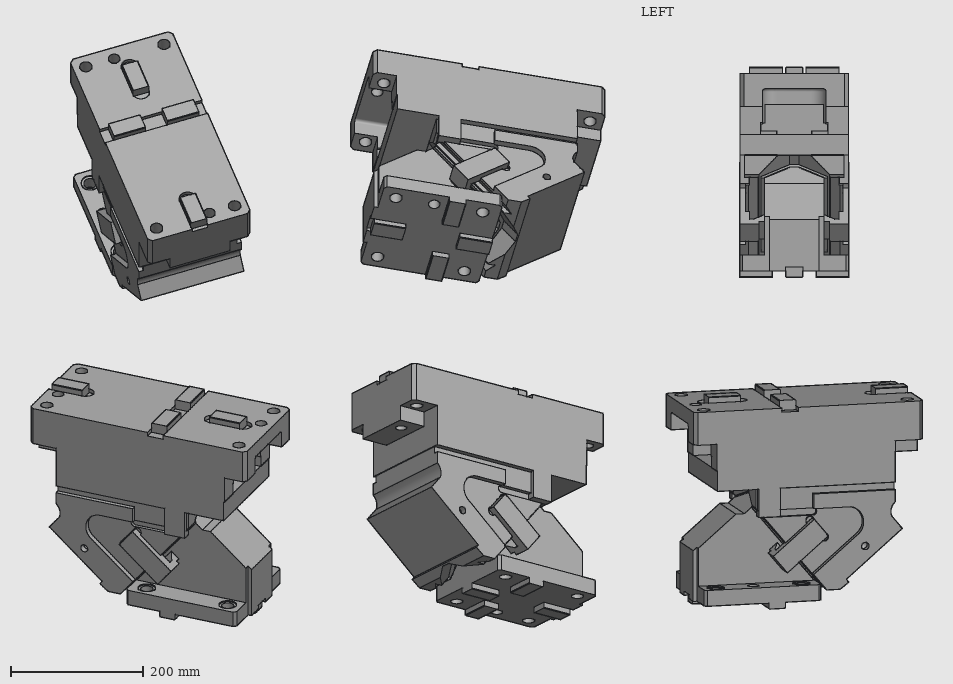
import cadquery as cq
import math


SIDES = (-1, 1)

SLOPE = math.radians(40)
GUIDE_X, GUIDE_Z = 98.5, 155.5
GUIDE_LENGTH = 252.0
ALONG = cq.Vector(math.sin(SLOPE), 0, -math.cos(SLOPE))
ABOVE = cq.Vector(math.cos(SLOPE), 0, math.sin(SLOPE))


def guide_point(along, above):
    """X and Z of a point given by its distances along and above the guide plane."""
    x = GUIDE_X + along * ALONG.x + above * ABOVE.x
    z = GUIDE_Z + along * ALONG.z + above * ABOVE.z
    return x, z


def guide_prism(points, start, length):
    """Prism running down the guide; each point is (y, distance above the guide plane)."""
    x, z = guide_point(start, 0)
    plane = cq.Plane(origin=(x, 0, z), xDir=(0, 1, 0), normal=ALONG.toTuple())
    return cq.Workplane(plane).polyline(points).close().extrude(length)


def mirrored(points):
    """Complete an outline given for y > 0, from its top to its bottom, with its mirror image."""
    return points + [(-y, other) for y, other in reversed(points)]


def box(x_range, y_range, z_range):
    """Box between the given limits."""
    (x0, x1), (y0, y1), (z0, z1) = x_range, y_range, z_range
    return cq.Workplane("XY").box(x1 - x0, y1 - y0, z1 - z0, centered=False).translate((x0, y0, z0))


def side_range(side, inner, outer):
    """Limits in y of a feature between two distances from the plane of symmetry."""
    return tuple(sorted((side * inner, side * outer)))


def side_sketch(depth, side):
    """XZ sketch plane at a distance from the plane of symmetry, on the given side."""
    return cq.Workplane("XZ", origin=(0, side * depth, 0))


def side_disc(center, radius, side, inner, outer):
    """Cylinder along Y between two distances from the plane of symmetry."""
    return side_sketch(outer, side).center(*center).circle(radius).extrude(side * (outer - inner))


def rod(x, y, radius, z_range):
    """Vertical cylinder."""
    z0, z1 = z_range
    return cq.Workplane("XY", origin=(x, y, z0)).circle(radius).extrude(z1 - z0)


HEIGHT = 318.0
HALF_WIDTH = 82.5
KEY_HEIGHT = 9.5
KEY_HALF = 13.0
KEY_CHAMFER = 1.0
KEY_SLOT_DEPTH = 6.0
BOLT_RADIUS = 9.5
BOLT_Y = 62.5
PIN_RADIUS = 8.5

BASE_X = (16.5, 199.8)
BASE_BOTTOM = KEY_HEIGHT
BASE_TOP = 34.0
BASE_CHAMFER = 4.5
DRIVER_HALF = 45.5
DRIVER_FRONT = 10.8
NOSE_HALF = 37.5
SHOULDER_Z = 142.0
SHOULDER_X = (75.5, 89.0)
ROOF_HALF_FLAT = 7.0
ROOF_TOP = 22.5
EAVE = -1.8
LOWER_BOLTS_X = (39.0, 173.5)
LOWER_PIN_X = 98.3
LOWER_CBORE_RADIUS = 13.5
LOWER_CBORE_DEPTH = 1.8
LOWER_LONG_KEYS_X = ((16.5, 65.5), (149.5, 199.8))
LOWER_CROSS_KEY_X = (117.5, 143.3)
LOWER_CROSS_KEY_INNER = 33.0

SLIDER_BACK = 315.7
SLIDER_TOP = 184.5
UPPER_HALF = 75.2
PLATE_FRONT = 188.0
PLATE_TOP = 174.0
POCKET_TOP = 151.2
POCKET_FLOOR = 73.5
POCKET_RADIUS = 24.0
POCKET_ARC_X = 242.0
SCALLOP_TOP_Z, SCALLOP_MID, SCALLOP_END = 155.5, (309.2, 144.0), (310.5, 133.5)
BACK_CORNER = (327.0, 113.8)
LIP_ROOT, LIP_TIP = (239.0, 40.0), (242.5, 35.3)
SLIDER_BOTTOM, BOTTOM_X = 25.0, (208.5, 229.0)
LEG_GROOVE_FLOOR = 68.0
LEG_GROOVE_BOTTOM = 139.5
LEG_GROOVE_END = 194.8
VEE_HALF_FLAT, VEE_TOP = 7.5, 30.0
VEE_HALF = 53.3
WING_INNER, WING_OUTER, WING_RISE = 54.7, 69.0, 8.5
PAD_HALF = 50.0
PAD_START, PAD_END = 5.8, 151.5
CLAMP_ALONG = (73.5, 108.0)
CLAMP_TOP, CLAMP_END = 55.5, -28.5
CLAMP_INNER = 68.0
CLAMP_END_GAP = 1.0
CLAW_ROOT_HALF, CLAW_END = 53.3, -23.0
CLAW_TIP_TOP = -7.0
CLAW_HEEL_HALF, CLAW_HEEL_TOP = 61.2, -17.3
RELIEF_RADIUS, RELIEF_INSET = 6.5, 5.0
RELIEF_FLOOR = 70.2
SIDE_HOLE = (268.5, 89.5)
SIDE_HOLE_RADIUS, SIDE_HOLE_DEPTH = 5.8, 10.8
DRILL_HALF_ANGLE = math.radians(59)
TONGUE_X = (98.5, 252.0)
NECK_HALF = 26.3
RAIL_TOP = 221.0
FLANGE_HALF, FLANGE_TOP = 50.0, 232.0
TONGUE_HALF, TONGUE_TOP = 44.0, 261.5
TONGUE_STEP = 2.0

LENGTH = 360.0
HOLDER_HALF = 82.0
HOLDER_TOP = HEIGHT - KEY_HEIGHT
HOLDER_BOTTOM = 185.5
HOLDER_CHAMFER = 5.8
FRONT_FLANGE_BOTTOM = 258.0
BACK_FLANGE_BOTTOM = 249.0
BODY_X = (35.5, 315.7)
BAR_FRONT, BAR_TOP = 36.7, 216.5
BACK_BOSS_HALF, BACK_BOSS_BOTTOM = 48.2, 225.7
CAVITY_HALF, CAVITY_TOP, CAVITY_BACK = 48.2, 285.5, 288.0
CAVITY_TOP_RADIUS = 5.0
CAVITY_CORNER_RADIUS = 21.5
CAVITY_FOOT_HALF, CAVITY_FOOT_TOP = 51.0, 234.0
FLOOR_SLOT_HALF = 27.0
LEG_X = (101.5, 135.5)
LEG_BOTTOM = 142.0
TOE_INNER = 68.8
UPPER_HOLES_X = (20.0, 340.0)
UPPER_PINS = ((20.0, -17.3), (340.0, 22.5))
CROSS_SLOT_X = (137.5, 163.5)
CROSS_KEY_Y = (17.5, 68.0)
UPPER_LONG_KEYS_X = ((41.8, 92.0), (304.2, 354.5))


def driver_body():
    """Tower with a gabled, inclined roof."""
    nose_z = SHOULDER_Z - (SHOULDER_X[0] - DRIVER_FRONT) * math.tan(SLOPE)
    back = BASE_X[1]
    ridge_start_x = SHOULDER_X[1]
    dx, dz = ridge_start_x - GUIDE_X, SHOULDER_Z - GUIDE_Z
    roof_start = dx * ALONG.x + dz * ALONG.z
    ridge_start = guide_point(roof_start, ROOF_TOP)
    ridge_end_z = ridge_start[1] - (back - ridge_start[0]) / math.tan(SLOPE)
    outline = [
        (DRIVER_FRONT, BASE_BOTTOM), (DRIVER_FRONT, nose_z), (SHOULDER_X[0], SHOULDER_Z),
        (SHOULDER_X[1], SHOULDER_Z), ridge_start, (back, ridge_end_z), (back, BASE_BOTTOM),
    ]
    tower = cq.Workplane("XZ").polyline(outline).close().extrude(DRIVER_HALF, both=True)
    for side in SIDES:
        over_roof = [
            (side * ROOF_HALF_FLAT, ROOF_TOP), (side * DRIVER_HALF, EAVE),
            (side * HALF_WIDTH, EAVE), (side * HALF_WIDTH, 2 * ROOF_TOP),
            (side * ROOF_HALF_FLAT, 2 * ROOF_TOP),
        ]
        tower = tower.cut(guide_prism(over_roof, roof_start - 3.5, GUIDE_LENGTH))
        corner_y = side_range(side, NOSE_HALF, DRIVER_HALF)
        tower = tower.cut(box((DRIVER_FRONT, BASE_X[0]), corner_y, (0, SHOULDER_Z)))
    return tower


def lower_keys():
    """Two keys along X on the centre line and two along Y at the sides."""
    z_range = (0, BASE_BOTTOM)
    keys = []
    for x_range in LOWER_LONG_KEYS_X:
        key = box(x_range, (-KEY_HALF, KEY_HALF), z_range)
        keys.append(key.faces("<Z").edges("|X").chamfer(KEY_CHAMFER))
    for side in SIDES:
        key = box(LOWER_CROSS_KEY_X, side_range(side, LOWER_CROSS_KEY_INNER, HALF_WIDTH), z_range)
        keys.append(key.faces("<Z").edges("|Y").chamfer(KEY_CHAMFER))
    return keys


def build_driver():
    base = box(BASE_X, (-HALF_WIDTH, HALF_WIDTH), (BASE_BOTTOM, BASE_TOP))
    base = base.edges("|Z").chamfer(BASE_CHAMFER)
    driver = base.union(driver_body())
    nose_slot = box(
        (DRIVER_FRONT, BASE_X[0]), (-KEY_HALF, KEY_HALF), (BASE_BOTTOM, BASE_BOTTOM + KEY_SLOT_DEPTH)
    )
    driver = driver.cut(nose_slot)
    for key in lower_keys():
        driver = driver.union(key)
    for y in (-BOLT_Y, BOLT_Y):
        for x in LOWER_BOLTS_X:
            driver = driver.cut(rod(x, y, BOLT_RADIUS, (0, BASE_TOP)))
            driver = driver.cut(rod(x, y, LOWER_CBORE_RADIUS, (BASE_TOP - LOWER_CBORE_DEPTH, BASE_TOP)))
    return driver.cut(rod(LOWER_PIN_X, -BOLT_Y, PIN_RADIUS, (0, BASE_TOP)))


def slider_blank():
    """Full-width slider outline with a scalloped back."""
    outline = (
        cq.Workplane("XZ")
        .moveTo(GUIDE_X, SLIDER_TOP)
        .lineTo(SLIDER_BACK, SLIDER_TOP)
        .lineTo(SLIDER_BACK, SCALLOP_TOP_Z)
        .threePointArc(SCALLOP_MID, SCALLOP_END)
        .lineTo(*BACK_CORNER)
        .lineTo(*LIP_ROOT)
        .lineTo(*LIP_TIP)
        .lineTo(BOTTOM_X[1], SLIDER_BOTTOM)
        .lineTo(BOTTOM_X[0], SLIDER_BOTTOM)
        .lineTo(GUIDE_X, GUIDE_Z)
        .close()
    )
    return outline.extrude(HALF_WIDTH, both=True)


def pocket_cut(side):
    """Side pocket: flat top, round end, lower edge square to the guide, open at the guide."""
    arc_z = POCKET_TOP - POCKET_RADIUS
    end_x = POCKET_ARC_X + POCKET_RADIUS * math.sin(SLOPE)
    end_z = arc_z - POCKET_RADIUS * math.cos(SLOPE)
    run = end_x - GUIDE_X
    return (
        side_sketch(HALF_WIDTH, side)
        .moveTo(GUIDE_X, POCKET_TOP)
        .lineTo(POCKET_ARC_X, POCKET_TOP)
        .threePointArc((POCKET_ARC_X + POCKET_RADIUS, arc_z), (end_x, end_z))
        .lineTo(GUIDE_X, end_z - run * math.tan(SLOPE))
        .close()
        .extrude(side * (HALF_WIDTH - POCKET_FLOOR))
    )


def leg_groove(side):
    """Groove with a round end, which the toe of the holder's leg runs in."""
    radius = (POCKET_TOP - LEG_GROOVE_BOTTOM) / 2
    y_range = side_range(side, LEG_GROOVE_FLOOR, HALF_WIDTH)
    straight = box((GUIDE_X, LEG_GROOVE_END - radius), y_range, (LEG_GROOVE_BOTTOM, POCKET_TOP))
    center = (LEG_GROOVE_END - radius, LEG_GROOVE_BOTTOM + radius)
    return straight.union(side_disc(center, radius, side, LEG_GROOVE_FLOOR, HALF_WIDTH))


def clamp(side):
    """Plate square to the guide, set into the slider, with a claw reaching in to the driver."""
    start, end = CLAMP_ALONG
    outline = [
        (HALF_WIDTH, CLAMP_TOP), (HALF_WIDTH, CLAMP_END), (CLAW_ROOT_HALF, CLAMP_END),
        (CLAW_ROOT_HALF, CLAW_END), (DRIVER_HALF, CLAW_END), (DRIVER_HALF, CLAW_TIP_TOP),
        (CLAW_HEEL_HALF, CLAW_HEEL_TOP), (CLAMP_INNER, CLAW_HEEL_TOP),
        (CLAMP_INNER, CLAMP_TOP),
    ]
    return guide_prism([(side * y, above) for y, above in outline], start, end - start)


def clamp_slot(side):
    """Seat of the clamp in the slider, a little longer than the clamp, with corner reliefs."""
    start, end = CLAMP_ALONG
    seat_top = CLAMP_TOP + CLAMP_END_GAP
    outline = [(CLAMP_INNER, 0), (HALF_WIDTH, 0), (HALF_WIDTH, seat_top), (CLAMP_INNER, seat_top)]
    slot = guide_prism([(side * y, above) for y, above in outline], start, end - start)
    for along in CLAMP_ALONG:
        corner = guide_point(along, CLAMP_TOP - RELIEF_INSET)
        slot = slot.union(side_disc(corner, RELIEF_RADIUS, side, RELIEF_FLOOR, HALF_WIDTH))
    return slot


def side_hole(side):
    """Blind hole with a conical drill bottom."""
    x, z = SIDE_HOLE
    floor = HALF_WIDTH - SIDE_HOLE_DEPTH
    tip = SIDE_HOLE_RADIUS / math.tan(DRILL_HALF_ANGLE)
    inward = cq.Vector(0, -side, 0)
    cone = cq.Solid.makeCone(SIDE_HOLE_RADIUS, 0, tip, cq.Vector(x, side * floor, z), inward)
    return side_disc(SIDE_HOLE, SIDE_HOLE_RADIUS, side, floor, HALF_WIDTH).union(cq.Workplane(cone))


def guide_relief():
    """Vee and wing clearances in the slider's underside, as cutting bodies."""
    vee = mirrored([(VEE_HALF_FLAT, VEE_TOP), (VEE_HALF, 0)])
    cuts = [guide_prism(vee, -GUIDE_LENGTH / 2, 2 * GUIDE_LENGTH)]
    for side in SIDES:
        wing = [(side * WING_INNER, 0), (side * WING_INNER, WING_RISE), (side * WING_OUTER, 0)]
        cuts.append(guide_prism(wing, PAD_START, GUIDE_LENGTH))
    return cuts


def wear_pad():
    """Gabled pad that fills the vee down to the driver's roof."""
    edge_top = VEE_TOP * (VEE_HALF - PAD_HALF) / (VEE_HALF - VEE_HALF_FLAT)
    half = [
        (VEE_HALF_FLAT, VEE_TOP), (PAD_HALF, edge_top), (PAD_HALF, EAVE),
        (DRIVER_HALF, EAVE), (ROOF_HALF_FLAT, ROOF_TOP),
    ]
    return guide_prism(mirrored(half), PAD_START, PAD_END - PAD_START)


def tongue():
    """T-shaped tongue that runs in the holder's cavity."""
    bevel_top = FLANGE_TOP + TONGUE_STEP
    outline = mirrored([
        (TONGUE_HALF, TONGUE_TOP), (TONGUE_HALF, bevel_top), (FLANGE_HALF, FLANGE_TOP),
        (FLANGE_HALF, RAIL_TOP), (NECK_HALF, RAIL_TOP), (NECK_HALF, SLIDER_TOP),
    ])
    start, end = TONGUE_X
    return cq.Workplane("YZ", origin=(start, 0, 0)).polyline(outline).close().extrude(end - start)


def build_slider():
    slider = slider_blank()
    for cut in guide_relief():
        slider = slider.cut(cut)
    for side in SIDES:
        upper_y = side_range(side, UPPER_HALF, HALF_WIDTH)
        slider = slider.cut(box((GUIDE_X, PLATE_FRONT), upper_y, (POCKET_TOP, SLIDER_TOP)))
        slider = slider.cut(box((PLATE_FRONT, SLIDER_BACK), upper_y, (PLATE_TOP, SLIDER_TOP)))
        slider = slider.cut(pocket_cut(side))
        slider = slider.cut(leg_groove(side))
        slider = slider.cut(clamp_slot(side))
        slider = slider.cut(side_hole(side))
        slider = slider.union(clamp(side))
    return slider.union(wear_pad()).union(tongue())


def holder_blank():
    """Top plate with a flange at each end, and the body with the cross bar below it."""
    full_y = (-HOLDER_HALF, HOLDER_HALF)
    mid_x = LENGTH / 2
    front = box((0, mid_x), full_y, (FRONT_FLANGE_BOTTOM, HOLDER_TOP))
    front = front.edges("|Z and <X").chamfer(HOLDER_CHAMFER)
    back = box((mid_x, LENGTH), full_y, (BACK_FLANGE_BOTTOM, HOLDER_TOP))
    back = back.edges("|Z and >X").chamfer(HOLDER_CHAMFER)
    body = box(BODY_X, full_y, (BAR_TOP, FRONT_FLANGE_BOTTOM))
    lower = box((BAR_FRONT, BODY_X[1]), full_y, (HOLDER_BOTTOM, BAR_TOP))
    boss = box((mid_x, LENGTH), (-BACK_BOSS_HALF, BACK_BOSS_HALF), (BACK_BOSS_BOTTOM, BACK_FLANGE_BOTTOM))
    return front.union(back).union(body).union(lower).union(boss)


def cavity():
    """Cavity open at the front end and, behind the bar, through a slot in its floor."""
    main = box((0, CAVITY_BACK), (-CAVITY_HALF, CAVITY_HALF), (BAR_TOP, CAVITY_TOP))
    main = main.edges("|Z and >X").fillet(CAVITY_CORNER_RADIUS)
    main = main.edges("|X and >Z").fillet(CAVITY_TOP_RADIUS)
    foot_back = CAVITY_BACK - CAVITY_CORNER_RADIUS
    foot = box((0, foot_back), (-CAVITY_FOOT_HALF, CAVITY_FOOT_HALF), (BAR_TOP, CAVITY_FOOT_TOP))
    for side in SIDES:
        rail_y = side_range(side, FLOOR_SLOT_HALF, CAVITY_FOOT_HALF)
        rail = box((TONGUE_X[0], CAVITY_BACK), rail_y, (BAR_TOP, RAIL_TOP))
        main = main.cut(rail)
        foot = foot.cut(rail)
    slot = box((TONGUE_X[0], foot_back), (-FLOOR_SLOT_HALF, FLOOR_SLOT_HALF), (HOLDER_BOTTOM, RAIL_TOP))
    return main.union(foot).union(slot)


def leg(side):
    """Side leg whose toe hooks under the slider's upper slab."""
    shank = box(LEG_X, side_range(side, UPPER_HALF, HOLDER_HALF), (LEG_BOTTOM, HOLDER_BOTTOM))
    toe = box(LEG_X, side_range(side, TOE_INNER, HOLDER_HALF), (LEG_BOTTOM, POCKET_TOP))
    return shank.union(toe)


def build_holder():
    holder = holder_blank().cut(cavity())
    slot_bottom = HOLDER_TOP - KEY_SLOT_DEPTH
    key_z = (slot_bottom, HEIGHT)
    slot_z = (slot_bottom, HOLDER_TOP)
    for x in UPPER_HOLES_X:
        for y in (-BOLT_Y, BOLT_Y):
            holder = holder.cut(rod(x, y, BOLT_RADIUS, (HOLDER_BOTTOM, HOLDER_TOP)))
    for x, y in UPPER_PINS:
        holder = holder.cut(rod(x, y, PIN_RADIUS, (HOLDER_BOTTOM, HOLDER_TOP)))
    holder = holder.cut(box(CROSS_SLOT_X, (-HOLDER_HALF, HOLDER_HALF), slot_z))
    for start, end in UPPER_LONG_KEYS_X:
        slot = box((start, end), (-KEY_HALF, KEY_HALF), slot_z)
        for x in (start, end):
            slot = slot.union(rod(x, 0, KEY_HALF, slot_z))
        holder = holder.cut(slot)
        key = box((start, end), (-KEY_HALF, KEY_HALF), key_z)
        holder = holder.union(key.faces(">Z").edges("|X").chamfer(KEY_CHAMFER))
    for side in SIDES:
        key = box(CROSS_SLOT_X, side_range(side, *CROSS_KEY_Y), key_z)
        holder = holder.union(key.faces(">Z").edges("|Y").chamfer(KEY_CHAMFER))
        holder = holder.union(leg(side))
    return holder


driver = build_driver()
slider = build_slider()
holder = build_holder()

result = cq.Compound.makeCompound([driver.val(), slider.val(), holder.val()])